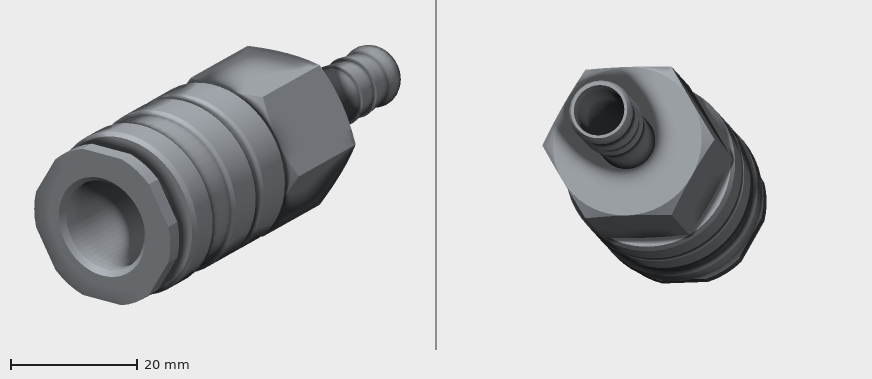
import cadquery as cq
import math


LENGTH = 76.5
FLANGE_END = 2.5
COLLAR_START = 6.1
FRONT_RING_END = 11.7
MIDDLE_RING_START = 16.75
MIDDLE_RING_END = 23.65
REAR_RING_START = 24.55
COLLAR_END = 31.75
HEX_START = 33.6
HEX_END = 51.55
BARB_START = 65.2
BEAD_START = 73.0

FLANGE_RADIUS = 13.1
FLANGE_FLATS = 25.1
NECK_RADIUS = 10.1
GROOVE_RADIUS = FLANGE_RADIUS
RING_DIAMETER = 27.3
RING_RADIUS = RING_DIAMETER / 2
RING_CHAMFER_LENGTH = 0.7
HEX_CORNERS = 27.7
HEX_FLATS = HEX_CORNERS * math.cos(math.pi / 6)
HEX_CHAMFER_ANGLE = 30.0
TAIL_RADIUS = 4.5
BARB_RADIUS = 5.05
BARB_COUNT = 2
BEAD_RADIUS = 5.1

BORE_RADIUS = 4.05
SOCKET_RADIUS = 7.5
SOCKET_CHAMFER = 0.85
SOCKET_DEPTH = HEX_START


def cylinder(radius, start, end):
    """Cylinder about the Y axis between two stations."""
    return cq.Workplane("XZ", origin=(0, start, 0)).circle(radius).extrude(start - end)


def hexagon(flats, start, end):
    """Hexagonal prism about the Y axis with two corners on the X axis."""
    corners = flats / math.cos(math.pi / 6)
    return cq.Workplane("XZ", origin=(0, start, 0)).polygon(6, corners).extrude(start - end)


def revolve_about_y(profile):
    return profile.close().revolve(360, (0, 0, 0), (0, 1, 0))


def collar_ring(start, end):
    """Raised sleeve ring sloping down to the groove radius at both ends."""
    return revolve_about_y(
        cq.Workplane("XY")
        .moveTo(0, start)
        .lineTo(GROOVE_RADIUS, start)
        .lineTo(RING_RADIUS, start + RING_CHAMFER_LENGTH)
        .lineTo(RING_RADIUS, end - RING_CHAMFER_LENGTH)
        .lineTo(GROOVE_RADIUS, end)
        .lineTo(0, end)
    )


def sleeve():
    body = cylinder(NECK_RADIUS, 0, HEX_START)
    body = body.union(cylinder(GROOVE_RADIUS, COLLAR_START, COLLAR_END))
    rings = (
        (COLLAR_START, FRONT_RING_END),
        (MIDDLE_RING_START, MIDDLE_RING_END),
        (REAR_RING_START, COLLAR_END),
    )
    for start, end in rings:
        body = body.union(collar_ring(start, end))
    return body


def mouth_flange():
    """Round flange trimmed by six flats."""
    disc = cylinder(FLANGE_RADIUS, 0, FLANGE_END)
    return disc.intersect(hexagon(FLANGE_FLATS, 0, FLANGE_END))


def hex_nut():
    """Hexagon with its corners turned off conically at both ends."""
    face_radius = HEX_FLATS / 2
    corner_radius = HEX_CORNERS / 2
    chamfer = (corner_radius - face_radius) * math.tan(math.radians(HEX_CHAMFER_ANGLE))
    envelope = revolve_about_y(
        cq.Workplane("XY")
        .moveTo(0, HEX_START)
        .lineTo(face_radius, HEX_START)
        .lineTo(corner_radius, HEX_START + chamfer)
        .lineTo(corner_radius, HEX_END - chamfer)
        .lineTo(face_radius, HEX_END)
        .lineTo(0, HEX_END)
    )
    return hexagon(HEX_FLATS, HEX_START, HEX_END).intersect(envelope)


def hose_tail():
    """Plain stem, tapered barbs and a rounded end bead."""
    barb_length = (BEAD_START - BARB_START) / BARB_COUNT
    profile = cq.Workplane("XY").moveTo(0, HEX_END).lineTo(TAIL_RADIUS, HEX_END)
    profile = profile.lineTo(TAIL_RADIUS, BARB_START)
    for index in range(BARB_COUNT):
        start = BARB_START + index * barb_length
        profile = profile.lineTo(BARB_RADIUS, start).lineTo(TAIL_RADIUS, start + barb_length)
    bead_middle = (BEAD_START + LENGTH) / 2
    profile = profile.threePointArc((BEAD_RADIUS, bead_middle), (TAIL_RADIUS, LENGTH))
    return revolve_about_y(profile.lineTo(0, LENGTH))


def bores():
    """Chamfered socket at the mouth continuing as a narrower through bore."""
    socket = revolve_about_y(
        cq.Workplane("XY")
        .lineTo(SOCKET_RADIUS + SOCKET_CHAMFER, 0)
        .lineTo(SOCKET_RADIUS, SOCKET_CHAMFER)
        .lineTo(SOCKET_RADIUS, SOCKET_DEPTH)
        .lineTo(0, SOCKET_DEPTH)
    )
    return socket.union(cylinder(BORE_RADIUS, 0, LENGTH))


result = sleeve().union(mouth_flange()).union(hex_nut()).union(hose_tail()).cut(bores())